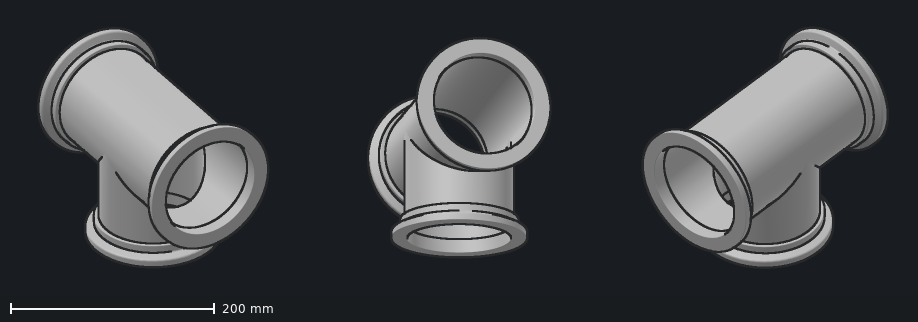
import cadquery as cq

face_distance = 108.0

pipe_diameter = 108.0
bore_diameter = 102.0

rim_diameter = 134.0
hub_diameter = 117.0
flange_length = 19.9
rim_length = 8.0
cone_end = 11.0
socket_floor = 14.3
face_edge_radius = 0.6
rim_back_radius = 2.4
hub_end_radius = 0.9
cone_root_radius = 1.3

tolerance = 0.02

pipe_radius = pipe_diameter / 2
bore_radius = bore_diameter / 2
rim_radius = rim_diameter / 2
hub_radius = hub_diameter / 2
pipe_reach = face_distance - socket_floor


def make_tee():
    """Tee of two equal pipes with a common bore."""
    def tee_shape(radius):
        run = cq.Workplane("YZ").circle(radius).extrude(pipe_reach, both=True)
        branch = cq.Workplane("XY").circle(radius).extrude(-pipe_reach)
        return run.union(branch)

    return tee_shape(pipe_radius).cut(tee_shape(bore_radius))


def round_edge(body, edge_radius, height, fillet_radius):
    """Round the circular edge with the given radius and height."""
    ring = [
        edge for edge in body.edges("%CIRCLE").vals()
        if abs(edge.radius() - edge_radius) < tolerance and abs(edge.Center().z - height) < tolerance
    ]
    return body.newObject(ring).fillet(fillet_radius)


def make_flange():
    """Flange around Z, with its sealing face at the bottom and a socket for the pipe on top."""
    profile = (
        cq.Workplane("XZ")
        .moveTo(bore_radius, 0)
        .lineTo(rim_radius, 0)
        .lineTo(rim_radius, rim_length)
        .lineTo(hub_radius, cone_end)
        .lineTo(hub_radius, flange_length)
        .lineTo(pipe_radius, flange_length)
        .lineTo(pipe_radius, socket_floor)
        .lineTo(bore_radius, socket_floor)
        .close()
    )
    flange = profile.revolve(360, (0, 0, 0), (0, 1, 0))

    flange = round_edge(flange, rim_radius, rim_length, rim_back_radius)
    flange = round_edge(flange, rim_radius, 0, face_edge_radius)
    flange = round_edge(flange, bore_radius, 0, face_edge_radius)
    flange = round_edge(flange, hub_radius, cone_end, cone_root_radius)
    return round_edge(flange, hub_radius, flange_length, hub_end_radius)


def place_flanges():
    """One flange on each end of the run and one on the branch."""
    lowered = make_flange().translate((0, 0, -face_distance))
    return [lowered.rotate((0, 0, 0), (0, 1, 0), angle).val() for angle in (0, 90, -90)]


tee = make_tee()
flanges = place_flanges()
result = cq.Compound.makeCompound([tee.val(), *flanges])